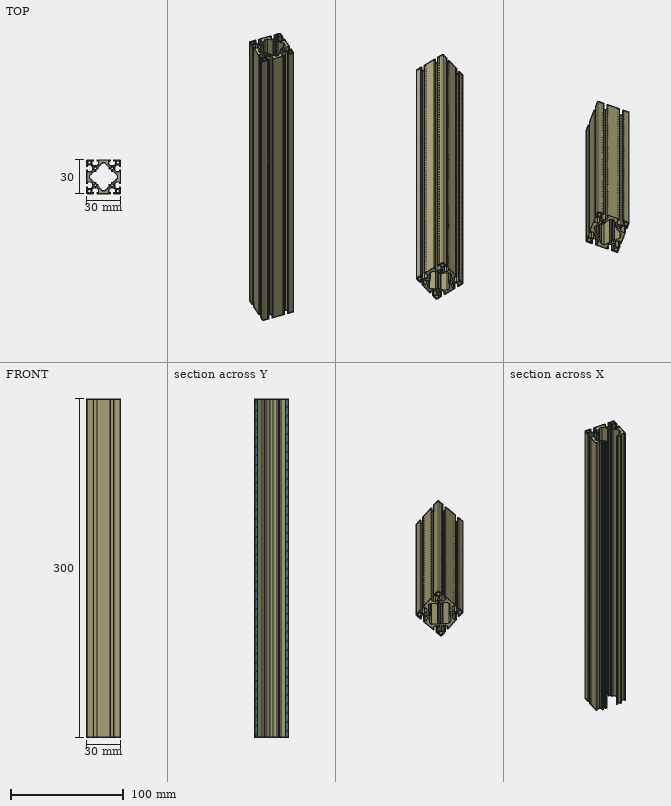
import cadquery as cq
import math

side = 30
length = 300
edge_radius = 1.0
half = side / 2

slot_offset = 7.5
slot_opening = 3.0
lip_thickness = 1.0
lip_radius = 0.3
cavity_width = 5.7
cavity_floor = 10.0
cavity_chamfer = 1.2
cavity_top = half - lip_thickness
stem_face = slot_offset - cavity_width / 2
tube_face = slot_offset + cavity_width / 2

tube_centre = (half + tube_face) / 2
tube_hole_diameter = 3.0
rib_thickness = 1.2

bore_tip = 12.3
bore_tip_half_width = 1.2

channel_offset = slot_offset
channel_diameter = 2.5
block_margin = 2.55
notch_margin = 0.5
block_side = channel_offset - block_margin
notch_side = channel_offset - notch_margin

quarter_turns = [0, 90, 180, 270]


def bar(x_start, x_end, y_start, y_end):
    """Full-length rectangular bar between the given limits."""
    corner = cq.Workplane("XY").moveTo(x_start, y_start)
    return corner.rect(x_end - x_start, y_end - y_start, centered=False).extrude(length)


def rod(diameter, x, y):
    """Full-length round bar centred on (x, y)."""
    return cq.Workplane("XY").center(x, y).circle(diameter / 2).extrude(length)


def turned(shape, angle):
    return shape.rotate((0, 0, 0), (0, 0, 1), angle)


def body():
    return bar(-half, half, -half, half).edges("|Z").fillet(edge_radius)


def bore():
    points = []
    for x_sign, y_sign in [(1, 1), (-1, 1), (-1, -1), (1, -1)]:
        side_point = (x_sign * bore_tip, y_sign * bore_tip_half_width)
        end_point = (x_sign * bore_tip_half_width, y_sign * bore_tip)
        if x_sign == y_sign:
            points += [side_point, end_point]
        else:
            points += [end_point, side_point]
    return cq.Workplane("XY").polyline(points).close().extrude(length)


def channel_block():
    """Square block in the +X +Y quarter with its inner corner notched."""
    block = bar(block_side, cavity_floor, block_side, cavity_floor)
    return block.cut(bar(0, notch_side, 0, notch_side))


def slot():
    """T-slot on the +X half of the +Y face, with rounded outer lips."""
    cavity = bar(stem_face, tube_face, cavity_floor, cavity_top)
    cavity = cavity.edges("|Z").edges("<X").edges("<Y").chamfer(cavity_chamfer)

    opening_start = slot_offset - slot_opening / 2
    opening_end = slot_offset + slot_opening / 2
    opening = bar(opening_start, opening_end, cavity_top, half)

    lip_start = opening_start - lip_radius
    lip_end = opening_end + lip_radius
    flare = bar(lip_start, lip_end, half - lip_radius, half)
    for x in (lip_start, lip_end):
        flare = flare.cut(rod(2 * lip_radius, x, half - lip_radius))
    return cavity.union(opening).union(flare)


def corner_rib():
    """Diagonal rib from the screw channel to the corner tube in the +X +Y quarter."""
    start = channel_offset * math.sqrt(2)
    end = tube_centre * math.sqrt(2)
    return turned(bar(start, end, -rib_thickness / 2, rib_thickness / 2), 45)


profile = body().cut(bore())

block = channel_block()
for angle in quarter_turns:
    profile = profile.union(turned(block, angle))

right_slot = slot()
left_slot = right_slot.mirror("YZ")
for angle in quarter_turns:
    for face_slot in (right_slot, left_slot):
        profile = profile.cut(turned(face_slot, angle))

rib = corner_rib()
for angle in quarter_turns:
    profile = profile.union(turned(rib, angle))

tube_hole = rod(tube_hole_diameter, tube_centre, tube_centre)
channel = rod(channel_diameter, channel_offset, channel_offset)
for angle in quarter_turns:
    for hole in (tube_hole, channel):
        profile = profile.cut(turned(hole, angle))

result = profile